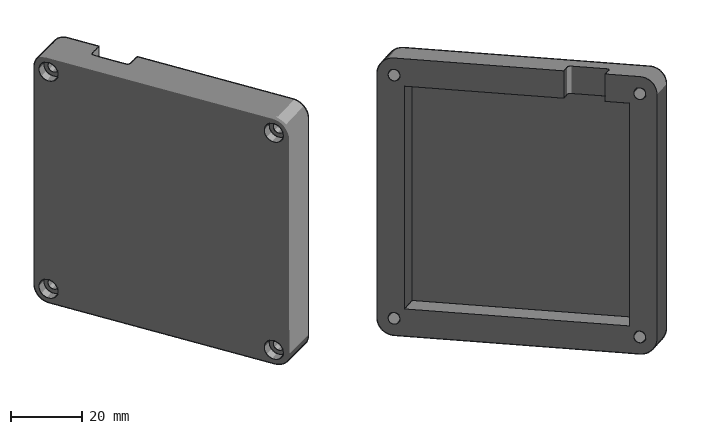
import cadquery as cq

side = 81.1
thickness = 11.5
corner_radius = 5.0
front_edge_radius = 1.0

screw_diameter = 3.4
head_diameter = 6.0
head_depth = 3.0
screw_spacing = side - 2 * corner_radius

wall = corner_radius + head_diameter / 2
floor_thickness = 3.0
cavity_side = side - 2 * wall
cavity_depth = thickness - floor_thickness

notch_width = 12.0
notch_depth = 5.0
notch_corner_radius = 1.0
notch_offset = 15.0
notch_center_x = -side / 2 + notch_offset + notch_width / 2


def cover_body():
    """Rounded square plate with its front edge rounded over."""
    plate = cq.Workplane("XY").box(side, thickness, side)
    plate = plate.edges("|Y").fillet(corner_radius)
    return plate.faces("<Y").edges().fillet(front_edge_radius)


def drill_screw_holes(body):
    """Counterbored through holes at the four corners."""
    return (
        body.faces("<Y")
        .workplane(centerOption="CenterOfBoundBox")
        .rect(screw_spacing, screw_spacing, forConstruction=True)
        .vertices()
        .cboreHole(screw_diameter, head_diameter, head_depth)
    )


def cavity_cutter():
    """Square block that hollows the cover from the mating face."""
    block = cq.Workplane("XY").box(cavity_side, cavity_depth, cavity_side)
    return block.translate((0, (thickness - cavity_depth) / 2, 0))


def notch_cutter():
    """Block for the notch, rounded along its two floor edges."""
    block = cq.Workplane("XY").box(notch_width, notch_depth, wall)
    block = block.edges("|Z and <Y").fillet(notch_corner_radius)
    return block.translate(
        (notch_center_x, (thickness - notch_depth) / 2, (side - wall) / 2)
    )


result = drill_screw_holes(cover_body()).cut(cavity_cutter()).cut(notch_cutter())